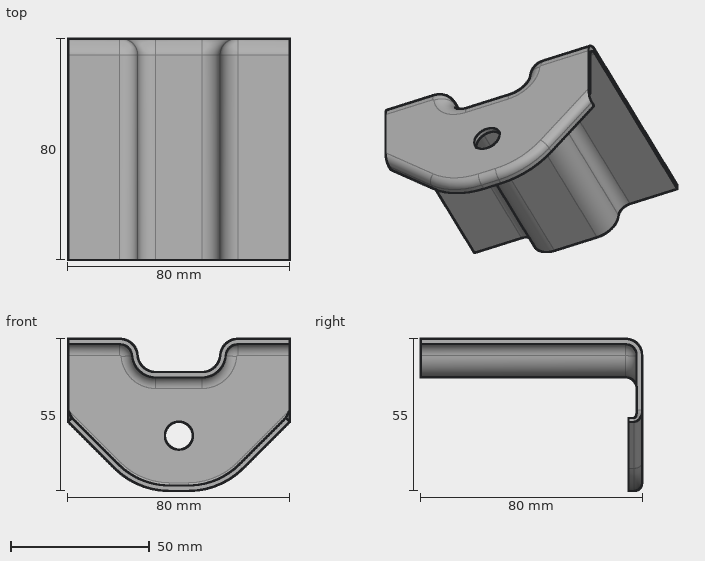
import cadquery as cq
import math


half_width = 40.0
depth = 80.0
height = 55.0
thickness = 2.0

channel_depth = 12.0
channel_radius = 6.5
channel_floor_half = 8.4

top_bend_radius = 6.0
hole_diameter = 10.0
hole_depth_below_top = 35.0

side_height = 30.0
corner_radius = 28.0
lip_bend_radius = 3.0
lip_length = 5.0

wall_angle = math.acos(1 - channel_depth / (2 * channel_radius))
shoulder_x = channel_floor_half + 2 * channel_radius * math.sin(wall_angle)
slope = math.radians(45)
corner_x = half_width - (height - side_height)
bottom_flat_half = corner_x - corner_radius * math.tan(slope / 2)
clearance = 5.0


def on_circle(center_x, center_z, radius, angle):
    """Point on a circle, with the angle measured from +X toward +Z."""
    return (center_x + radius * math.cos(angle), center_z + radius * math.sin(angle))


def half_outline(inset, side_x):
    """Right half of the bracket outline, moved inward by inset and ended at side_x."""
    floor_radius = channel_radius + inset
    floor_center = (channel_floor_half, channel_radius - channel_depth)
    shoulder_radius = channel_radius - inset
    shoulder_center = (shoulder_x, -channel_radius)
    lower_radius = corner_radius - inset
    lower_center = (bottom_flat_half, corner_radius - height)

    down = -math.pi / 2
    up = math.pi / 2
    wall_point = on_circle(*floor_center, floor_radius, down + wall_angle)
    floor_mid = on_circle(*floor_center, floor_radius, down + wall_angle / 2)
    shoulder_mid = on_circle(*shoulder_center, shoulder_radius, up + wall_angle / 2)
    lower_start = on_circle(*lower_center, lower_radius, down + slope)
    lower_mid = on_circle(*lower_center, lower_radius, down + slope / 2)
    side_bottom_z = lower_start[1] + side_x - lower_start[0]

    return (
        cq.Workplane("XZ")
        .moveTo(0, -channel_depth - inset)
        .lineTo(channel_floor_half, -channel_depth - inset)
        .threePointArc(floor_mid, wall_point)
        .threePointArc(shoulder_mid, (shoulder_x, -inset))
        .lineTo(side_x, -inset)
        .lineTo(side_x, side_bottom_z)
        .lineTo(*lower_start)
        .threePointArc(lower_mid, (bottom_flat_half, inset - height))
        .lineTo(0, inset - height)
        .close()
    )


def round_back_edges(body, upper_radius, lower_radius):
    """Round the back edges along the top sheet and along the lip."""
    middle_z = -(channel_depth + side_height) / 2

    upper = body.faces(">Y").edges("not |Z").filter(lambda edge: edge.Center().z > middle_z)
    body = upper.fillet(upper_radius)
    lower = body.faces(">Y").edges("not |Z").filter(lambda edge: edge.Center().z < middle_z)
    return lower.fillet(lower_radius)


def half_shell():
    """Right half of the folded sheet, with the lip ends still cut flush at the side."""
    outside = round_back_edges(
        half_outline(0, half_width).extrude(depth), top_bend_radius, lip_bend_radius
    )
    inside = half_outline(thickness, half_width + clearance).extrude(depth + clearance)
    inside = round_back_edges(
        inside, top_bend_radius - thickness, lip_bend_radius - thickness
    ).translate((0, -thickness, 0))
    ahead_of_lip = (
        cq.Workplane("XY")
        .box(half_width + clearance, depth, height, centered=False)
        .translate((0, -lip_length - depth, -height - side_height / 2))
    )
    return outside.cut(inside).cut(ahead_of_lip)


def lip_end_cutters():
    """Bodies that trim the right end of the lip and its bend square to the sheet."""
    bend_start_z = -side_height + lip_bend_radius / math.cos(slope)
    origin = cq.Vector(half_width, -lip_bend_radius, bend_start_z)
    outward = cq.Vector(math.sin(slope), 0, -math.cos(slope))
    along = cq.Vector(-math.cos(slope), 0, -math.sin(slope))
    back = cq.Vector(0, 1, 0)
    inner_reach = (lip_bend_radius - thickness) / 2
    outer_reach = lip_bend_radius + thickness / 4

    def section(angle):
        radial = outward * math.sin(angle) + back * math.cos(angle)
        end = along * (lip_bend_radius * math.sin(angle))
        beyond = along * -clearance
        near = origin + radial * inner_reach
        far = origin + radial * outer_reach
        return cq.Wire.makePolygon([near + end, far + end, far + beyond, near + beyond], close=True)

    steps = 6
    sections = [section(i * math.pi / 2 / steps) for i in range(steps + 1)]
    bend_cutter = cq.Solid.makeLoft(sections)
    lip_cutter = cq.Solid.extrudeLinear(sections[-1], [], cq.Vector(0, -lip_length, 0))
    return cq.Workplane(obj=bend_cutter), cq.Workplane(obj=lip_cutter)


def bracket():
    half = half_shell()
    for cutter in lip_end_cutters():
        half = half.cut(cutter)
    body = half.union(half.mirror("YZ"))
    hole = (
        cq.Workplane("XZ")
        .center(0, -hole_depth_below_top)
        .circle(hole_diameter / 2)
        .extrude(thickness)
    )
    return body.cut(hole)


result = bracket()